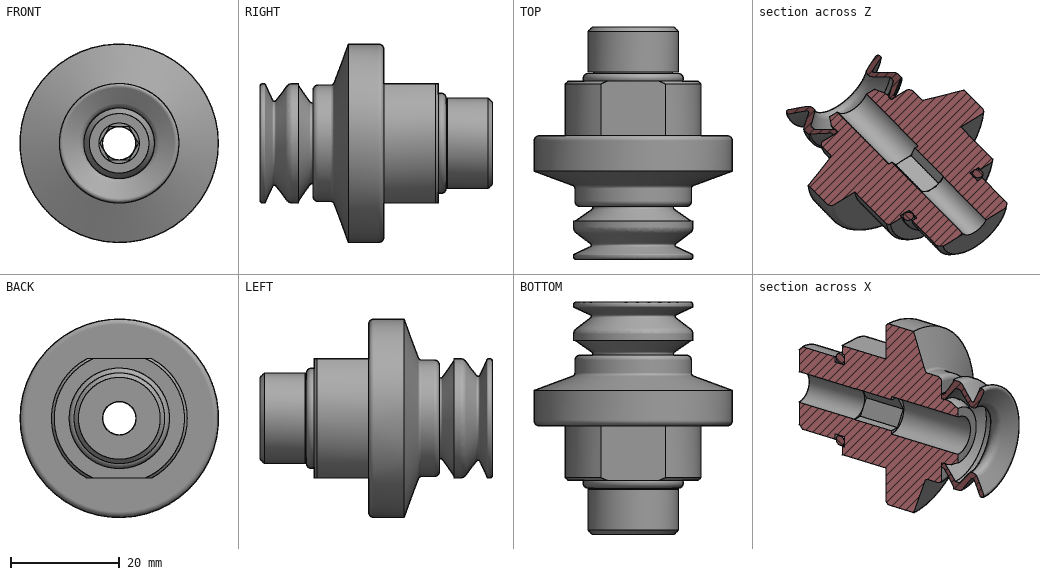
import cadquery as cq
import math


TOTAL_LENGTH = 42.75

SHANK_RADIUS = 8.35
SHANK_CHAMFER = 0.8
SHANK_START_Y = 34.45
RELIEF_RADIUS = 7.25

WRENCH_RADIUS = 12.5
WRENCH_END_Y = 32.8
WRENCH_CHAMFER = 0.5
WRENCH_FLAT_DISTANCE = 11.0

FLANGE_RADIUS = 18.25
FLANGE_BACK_Y = 22.8
FLANGE_FRONT_Y = 16.25
EDGE_ROUND = 1.0

COLLAR_RADIUS = 10.73
COLLAR_TOP_Y = 13.45
COLLAR_END_Y = 9.75
COLLAR_CORNER_RADIUS = 0.5

NIPPLE_RADIUS = 6.5
NIPPLE_TIP_RADIUS = 5.45
NIPPLE_TIP_Y = 6.0
NIPPLE_CONE_LENGTH = 1.92
NIPPLE_ROUND = 1.7

BORE_RADIUS = 3.7
BORE_END_Y = 21.35
HEX_ACROSS_FLATS = 6.15
HEX_END_Y = 29.9
PASSAGE_RADIUS = 3.05

RING_SECTION_RADIUS = 1.0
RING_MAJOR_RADIUS = RELIEF_RADIUS + RING_SECTION_RADIUS
RING_OUTER_RADIUS = RING_MAJOR_RADIUS + RING_SECTION_RADIUS
RING_CENTER_Y = 33.25
RING_GROOVE_Y = RING_CENTER_Y - RING_SECTION_RADIUS

UPPER_NECK_RADIUS = 7.45
UPPER_NECK_Y = 9.3
UPPER_NECK_ROUND = 0.35
FOLD_RADIUS = 11.0
FOLD_SHOULDER_RADIUS = 10.65
FOLD_TOP_Y = 7.1
FOLD_BOTTOM_Y = 5.3
FOLD_ROUND = 1.15
LOWER_NECK_RADIUS = 7.45
LOWER_NECK_ROUND = 0.3
LIP_SLOPE = math.radians(25)
LIP_TOP_Y = 0.95
LIP_TOP_ROUND = 0.3
LIP_NOSE_RADIUS = 0.5

CAVITY_RADIUS = 9.3
CAVITY_TOP_Y = 6.6
CAVITY_BOTTOM_Y = 5.6
CAVITY_CEILING_Y = 8.95
THROAT_CORNER_RADIUS = 5.4
THROAT_ROUND = 1.3

LIP_CORNER_Y = LIP_NOSE_RADIUS * (1 - (1 + math.sin(LIP_SLOPE)) / math.cos(LIP_SLOPE))
LOWER_NECK_Y = LIP_TOP_Y + (FOLD_RADIUS - LOWER_NECK_RADIUS) * math.tan(LIP_SLOPE)
THROAT_CORNER_Y = LIP_CORNER_Y + (FOLD_RADIUS - THROAT_CORNER_RADIUS) * math.tan(LIP_SLOPE)


def revolve_profile(points):
    """Turn a closed (radius, Y) outline one full turn about the Y axis."""
    return cq.Workplane("XY").polyline(points).close().revolve(360, (0, 0, 0), (0, 1, 0))


def circle_edges(solid, radius, y):
    """Select the circular edge of the given radius at height y."""
    margin = 0.02
    ring = cq.selectors.BoxSelector(
        (-radius - margin, y - margin, -radius - margin),
        (radius + margin, y + margin, radius + margin),
        boundingbox=True,
    )
    edges = [e for e in solid.edges(ring).vals() if abs(e.radius() - radius) < margin]
    return solid.newObject(edges)


def round_circle(solid, radius, y, size):
    return circle_edges(solid, radius, y).fillet(size)


def fitting_blank():
    """Turned outside of the fitting."""
    blank = revolve_profile([
        (0, NIPPLE_TIP_Y),
        (NIPPLE_TIP_RADIUS, NIPPLE_TIP_Y),
        (NIPPLE_RADIUS, NIPPLE_TIP_Y + NIPPLE_CONE_LENGTH),
        (NIPPLE_RADIUS, COLLAR_END_Y),
        (COLLAR_RADIUS, COLLAR_END_Y),
        (COLLAR_RADIUS, COLLAR_TOP_Y),
        (FLANGE_RADIUS, FLANGE_FRONT_Y),
        (FLANGE_RADIUS, FLANGE_BACK_Y),
        (WRENCH_RADIUS, FLANGE_BACK_Y),
        (WRENCH_RADIUS, WRENCH_END_Y - WRENCH_CHAMFER),
        (WRENCH_RADIUS - WRENCH_CHAMFER, WRENCH_END_Y),
        (RING_OUTER_RADIUS, WRENCH_END_Y),
        (RING_OUTER_RADIUS, RING_GROOVE_Y),
        (RELIEF_RADIUS, RING_GROOVE_Y),
        (RELIEF_RADIUS, SHANK_START_Y),
        (SHANK_RADIUS, SHANK_START_Y),
        (SHANK_RADIUS, TOTAL_LENGTH - SHANK_CHAMFER),
        (SHANK_RADIUS - SHANK_CHAMFER, TOTAL_LENGTH),
        (0, TOTAL_LENGTH),
    ])
    blank = round_circle(blank, FLANGE_RADIUS, FLANGE_BACK_Y, EDGE_ROUND)
    blank = round_circle(blank, COLLAR_RADIUS, COLLAR_END_Y, EDGE_ROUND)
    blank = round_circle(blank, COLLAR_RADIUS, COLLAR_TOP_Y, COLLAR_CORNER_RADIUS)
    return round_circle(blank, NIPPLE_RADIUS, NIPPLE_TIP_Y + NIPPLE_CONE_LENGTH, NIPPLE_ROUND)


def wrench_flat_cutter(side):
    """Block that mills one wrench flat; side is +1 for +Z and -1 for -Z."""
    length = WRENCH_END_Y - FLANGE_BACK_Y
    depth = WRENCH_RADIUS - WRENCH_FLAT_DISTANCE
    return cq.Workplane("XY").box(2 * WRENCH_RADIUS, length, depth).translate(
        (0, FLANGE_BACK_Y + length / 2, side * (WRENCH_FLAT_DISTANCE + depth / 2))
    )


def section_at(y):
    """Workplane across the axis at height y, with its normal toward -Y."""
    return cq.Workplane("XZ", origin=(0, y, 0))


def air_passage():
    """Stepped bore: round inlet, hexagon socket, then a round passage out of the shank."""
    hex_diameter = HEX_ACROSS_FLATS / math.cos(math.pi / 6)
    inlet = section_at(BORE_END_Y).circle(BORE_RADIUS).extrude(BORE_END_Y - NIPPLE_TIP_Y)
    socket = section_at(HEX_END_Y).polygon(6, hex_diameter).extrude(HEX_END_Y - BORE_END_Y)
    outlet = section_at(TOTAL_LENGTH).circle(PASSAGE_RADIUS).extrude(TOTAL_LENGTH - HEX_END_Y)
    return inlet.union(socket).union(outlet)


def make_fitting():
    fitting = fitting_blank()
    for side in (1, -1):
        fitting = fitting.cut(wrench_flat_cutter(side))
    return fitting.cut(air_passage())


def make_o_ring():
    return (
        cq.Workplane("XY")
        .center(RING_MAJOR_RADIUS, RING_CENTER_Y)
        .circle(RING_SECTION_RADIUS)
        .revolve(360, (-RING_MAJOR_RADIUS, 0, 0), (-RING_MAJOR_RADIUS, 1, 0))
    )


def make_suction_cup():
    """Bellows with one fold and a flared lip, gripping the nipple under the collar."""
    cup = revolve_profile([
        (NIPPLE_RADIUS, COLLAR_END_Y),
        (UPPER_NECK_RADIUS, COLLAR_END_Y),
        (UPPER_NECK_RADIUS, UPPER_NECK_Y),
        (FOLD_SHOULDER_RADIUS, FOLD_TOP_Y),
        (FOLD_RADIUS, FOLD_TOP_Y),
        (FOLD_RADIUS, FOLD_BOTTOM_Y),
        (LOWER_NECK_RADIUS, LOWER_NECK_Y),
        (FOLD_RADIUS, LIP_TOP_Y),
        (FOLD_RADIUS, LIP_CORNER_Y),
        (THROAT_CORNER_RADIUS, THROAT_CORNER_Y),
        (CAVITY_RADIUS, CAVITY_BOTTOM_Y),
        (CAVITY_RADIUS, CAVITY_TOP_Y),
        (NIPPLE_RADIUS, CAVITY_CEILING_Y),
    ])
    cup = round_circle(cup, UPPER_NECK_RADIUS, UPPER_NECK_Y, UPPER_NECK_ROUND)
    cup = round_circle(cup, FOLD_RADIUS, FOLD_BOTTOM_Y, FOLD_ROUND)
    cup = round_circle(cup, LOWER_NECK_RADIUS, LOWER_NECK_Y, LOWER_NECK_ROUND)
    cup = round_circle(cup, FOLD_RADIUS, LIP_TOP_Y, LIP_TOP_ROUND)
    cup = round_circle(cup, FOLD_RADIUS, LIP_CORNER_Y, LIP_NOSE_RADIUS)
    return round_circle(cup, THROAT_CORNER_RADIUS, THROAT_CORNER_Y, THROAT_ROUND)


fitting = make_fitting()
o_ring = make_o_ring()
suction_cup = make_suction_cup()
result = cq.Compound.makeCompound([fitting.val(), o_ring.val(), suction_cup.val()])